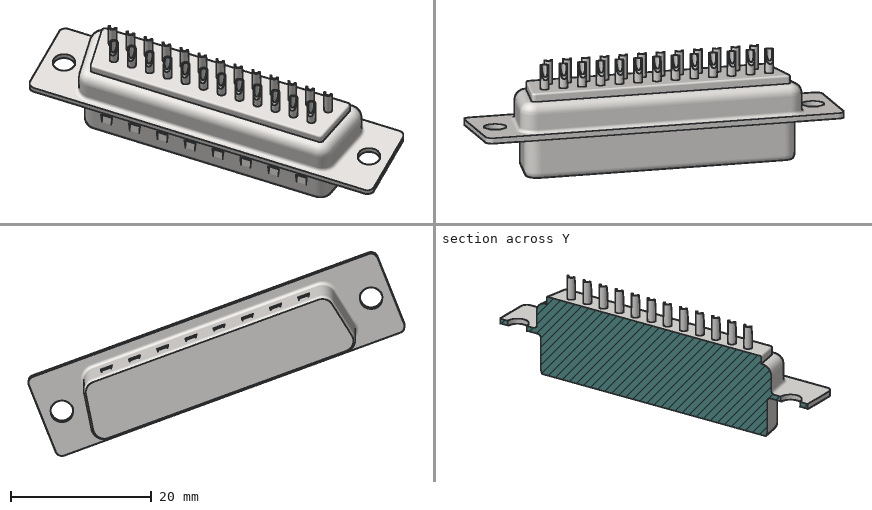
import cadquery as cq
import math

FLANGE_BOTTOM = 6.05
FLANGE_TOP = 6.87
SHELL_TOP = 11.1
INSULATOR_TOP = 12.3
CUP_TOP = 15.7

FLANGE_LENGTH = 53.04
FLANGE_WIDTH = 12.55
FLANGE_CORNER_RADIUS = 1.0
MOUNTING_HOLE_SPACING = 47.04
MOUNTING_HOLE_DIAMETER = 3.2

SIDE_ANGLE = math.radians(10)
PLUG_LENGTH = 39.95
PLUG_WIDTH = 9.13
REAR_SHELL_LENGTH = 41.6
REAR_SHELL_WIDTH = 10.7
PLUG_CORNER_RADIUS = 1.9
REAR_SHELL_CORNER_RADIUS = 2.0
INSULATOR_LENGTH = 38.25
INSULATOR_WIDTH = 7.8
INSULATOR_CORNER_RADIUS = 0.5

PLUG_JOINT_FILLET = 0.5
REAR_JOINT_FILLET = 0.5
PLUG_RIM_RADIUS = 1.1
PLUG_RIM_HEIGHT = 0.75
REAR_SHELL_ROUND = 1.52
INSULATOR_TOP_FILLET = 0.3

SELECTION_MARGIN = 0.05

DIMPLE_COUNT = 8
DIMPLE_PITCH = 4.29
DIMPLE_WIDTH = 1.45
DIMPLE_HEIGHT = 1.45
DIMPLE_DEPTH = 0.2
DIMPLE_WALL_SLOPE = 0.15
DIMPLE_CENTER_Z = 2.92

CUP_PITCH = 2.77
CUP_ROW_SPACING = 2.84
WIDE_ROW_COUNT = 13
NARROW_ROW_COUNT = 12
CUP_RADIUS = 0.6
CUP_BORE_RADIUS = 0.4
CUP_BORE_DEPTH = CUP_TOP - INSULATOR_TOP
SCOOP_DEPTH = 2.05
SCOOP_MIDDLE_OFFSET = 0.27
SCOOP_MIDDLE_DEPTH = 1.25


def d_prism(length, width, corner_radius, bottom, top):
    """Prism with a rounded D outline, widest toward +Y."""
    half_width = width / 2
    corner_overhang = corner_radius * ((1 + math.sin(SIDE_ANGLE)) / math.cos(SIDE_ANGLE) - 1)
    wide_x = length / 2 + corner_overhang
    narrow_x = wide_x - width * math.tan(SIDE_ANGLE)
    outline = [
        (-wide_x, half_width),
        (wide_x, half_width),
        (narrow_x, -half_width),
        (-narrow_x, -half_width),
    ]
    prism = cq.Workplane("XY").workplane(offset=bottom).polyline(outline).close().extrude(top - bottom)
    return prism.edges("|Z").fillet(corner_radius)


def row_positions(count, pitch):
    """X positions of evenly spaced items centred on the part."""
    return [(index - (count - 1) / 2) * pitch for index in range(count)]


def make_plug():
    """Plug shell whose rim round is cut off flat at the mating face."""
    rounded_end = PLUG_RIM_HEIGHT - PLUG_RIM_RADIUS
    plug = d_prism(PLUG_LENGTH, PLUG_WIDTH, PLUG_CORNER_RADIUS, rounded_end, FLANGE_BOTTOM)
    plug = plug.faces("<Z").edges().fillet(PLUG_RIM_RADIUS)
    below_mating_face = (
        cq.Workplane("XY").workplane(offset=rounded_end).rect(PLUG_LENGTH, PLUG_WIDTH).extrude(-rounded_end)
    )
    return plug.cut(below_mating_face)


def make_housing():
    """Flange with the plug shell below it and the rear shell above it."""
    flange = (
        cq.Workplane("XY")
        .workplane(offset=FLANGE_BOTTOM)
        .rect(FLANGE_LENGTH, FLANGE_WIDTH)
        .extrude(FLANGE_TOP - FLANGE_BOTTOM)
        .edges("|Z")
        .fillet(FLANGE_CORNER_RADIUS)
    )
    rear_shell = d_prism(
        REAR_SHELL_LENGTH, REAR_SHELL_WIDTH, REAR_SHELL_CORNER_RADIUS, FLANGE_TOP, SHELL_TOP
    )
    rear_shell = rear_shell.faces(">Z").edges().fillet(REAR_SHELL_ROUND)
    housing = flange.union(make_plug()).union(rear_shell)
    return round_flange_joints(housing)


def round_flange_joints(housing):
    """Fillet the inside corners where both shells meet the flange."""
    margin = SELECTION_MARGIN
    for height, radius in ((FLANGE_BOTTOM, PLUG_JOINT_FILLET), (FLANGE_TOP, REAR_JOINT_FILLET)):
        joint = cq.selectors.BoxSelector(
            (-REAR_SHELL_LENGTH / 2 - margin, -REAR_SHELL_WIDTH / 2 - margin, height - margin),
            (REAR_SHELL_LENGTH / 2 + margin, REAR_SHELL_WIDTH / 2 + margin, height + margin),
            boundingbox=True,
        )
        housing = housing.edges(joint).fillet(radius)
    return housing


def make_insulator():
    """Insulator block standing out of the rear shell."""
    insulator = d_prism(
        INSULATOR_LENGTH, INSULATOR_WIDTH, INSULATOR_CORNER_RADIUS, FLANGE_TOP, INSULATOR_TOP
    )
    return insulator.faces(">Z").edges().fillet(INSULATOR_TOP_FILLET)


def make_solder_cup():
    """Solder cup on the Z axis, scooped open toward -Y."""
    cup = (
        cq.Workplane("XY")
        .workplane(offset=SHELL_TOP)
        .circle(CUP_RADIUS)
        .extrude(CUP_TOP - SHELL_TOP)
        .faces(">Z")
        .workplane()
        .circle(CUP_BORE_RADIUS)
        .cutBlind(-CUP_BORE_DEPTH)
    )
    scoop = (
        cq.Workplane("YZ")
        .moveTo(0, CUP_TOP)
        .threePointArc(
            (-SCOOP_MIDDLE_OFFSET, CUP_TOP - SCOOP_MIDDLE_DEPTH),
            (-CUP_RADIUS, CUP_TOP - SCOOP_DEPTH),
        )
        .lineTo(-CUP_RADIUS, CUP_TOP)
        .close()
        .extrude(CUP_RADIUS, both=True)
    )
    return cup.cut(scoop)


def add_solder_cups(body):
    """Two staggered rows of cups, each scooped toward its outer side."""
    front_cup = make_solder_cup()
    back_cup = front_cup.rotate((0, 0, 0), (0, 0, 1), 180)
    row_y = CUP_ROW_SPACING / 2
    for x in row_positions(NARROW_ROW_COUNT, CUP_PITCH):
        body = body.union(front_cup.translate((x, -row_y, 0)))
    for x in row_positions(WIDE_ROW_COUNT, CUP_PITCH):
        body = body.union(back_cup.translate((x, row_y, 0)))
    return body


def cut_mounting_holes(body):
    """Through holes near both ends of the flange."""
    holes = (
        cq.Workplane("XY")
        .workplane(offset=FLANGE_BOTTOM)
        .pushPoints([(x, 0) for x in row_positions(2, MOUNTING_HOLE_SPACING)])
        .circle(MOUNTING_HOLE_DIAMETER / 2)
        .extrude(FLANGE_TOP - FLANGE_BOTTOM)
    )
    return body.cut(holes)


def make_dimple():
    """Wedge with a floor sloping inward as it rises, and flared side and top walls."""
    surface_y = -PLUG_WIDTH / 2
    half_floor = DIMPLE_WIDTH / 2
    half_mouth = half_floor + DIMPLE_WALL_SLOPE
    floor_y = surface_y + DIMPLE_DEPTH
    bottom_z = DIMPLE_CENTER_Z - DIMPLE_HEIGHT / 2
    mouth_z = bottom_z + DIMPLE_HEIGHT
    floor_z = mouth_z - DIMPLE_WALL_SLOPE
    bottom_left, bottom_right = [(x, surface_y, bottom_z) for x in (-half_floor, half_floor)]
    mouth_left, mouth_right = [(x, surface_y, mouth_z) for x in (-half_mouth, half_mouth)]
    floor_left, floor_right = [(x, floor_y, floor_z) for x in (-half_floor, half_floor)]
    outlines = [
        (bottom_left, bottom_right, mouth_right, mouth_left),
        (bottom_left, floor_left, floor_right, bottom_right),
        (mouth_left, mouth_right, floor_right, floor_left),
        (bottom_left, mouth_left, floor_left),
        (bottom_right, floor_right, mouth_right),
    ]
    faces = [
        cq.Face.makeFromWires(cq.Wire.makePolygon([cq.Vector(*point) for point in outline], close=True))
        for outline in outlines
    ]
    return cq.Solid.makeSolid(cq.Shell.makeShell(faces)).fix()


def cut_dimples(body):
    """Row of shallow dimples in the -Y face of the plug shell."""
    dimple = make_dimple()
    for x in row_positions(DIMPLE_COUNT, DIMPLE_PITCH):
        body = body.cut(cq.Workplane(dimple.translate(cq.Vector(x, 0, 0))))
    return body


housing = cut_dimples(cut_mounting_holes(make_housing()))
result = add_solder_cups(housing.union(make_insulator()))